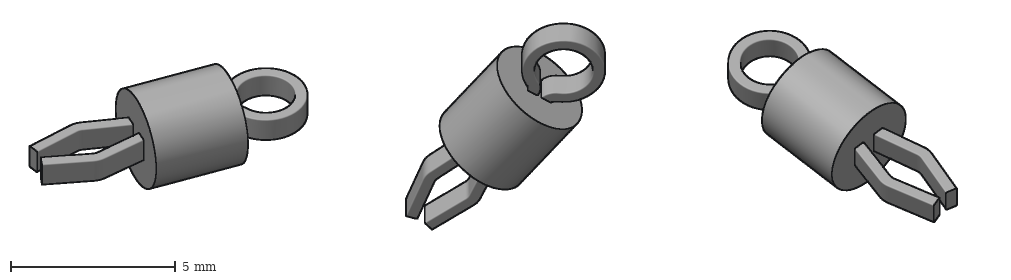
import cadquery as cq
import math

body_diameter = 3.17
body_length = 3.04

strip_thickness = 0.38
strip_width = 0.82
strip_corner_radius = 0.045
half_thickness = strip_thickness / 2

loop_outer_radius = 1.27
loop_height = 2.53
neck_inside_radius = 0.22
neck_half_gap = 0.05

leg_root_x = 0.41
knee_x = 0.8
knee_y = -1.6
leg_end_angle = 16.3
knee_inside_radius = 0.365
overall_length = 8.89
leg_embed_depth = 0.27


def strip_along(path, start, direction):
    """Sweep the rounded strip section along a path in the XY plane."""
    section = (
        cq.Sketch()
        .rect(strip_thickness, strip_width)
        .vertices()
        .fillet(strip_corner_radius)
    )
    across = (direction[1], -direction[0], 0)
    plane = cq.Plane(origin=(*start, 0), xDir=across, normal=(*direction, 0))
    return cq.Workplane(plane).placeSketch(section).sweep(path)


def make_body():
    return cq.Workplane("XZ").circle(body_diameter / 2).extrude(-body_length)


def make_loop():
    loop_radius = loop_outer_radius - half_thickness
    neck_radius = neck_inside_radius + half_thickness
    centre_y = body_length + loop_height - loop_outer_radius
    neck_x = neck_half_gap + half_thickness
    centre_distance = loop_radius + neck_radius
    neck_angle = math.asin((neck_x + neck_radius) / centre_distance)
    neck_centre_x = neck_x + neck_radius
    neck_y = centre_y - centre_distance * math.cos(neck_angle)

    joint_x = loop_radius * math.sin(neck_angle)
    joint_y = centre_y - loop_radius * math.cos(neck_angle)
    sweep_half = (math.pi / 2 - neck_angle) / 2
    middle_x = neck_centre_x - neck_radius * math.cos(sweep_half)
    middle_y = neck_y + neck_radius * math.sin(sweep_half)

    path = (
        cq.Workplane("XY")
        .moveTo(-neck_x, neck_y)
        .threePointArc((-middle_x, middle_y), (-joint_x, joint_y))
        .threePointArc((0, centre_y + loop_radius), (joint_x, joint_y))
        .threePointArc((middle_x, middle_y), (neck_x, neck_y))
    )
    return strip_along(path, (-neck_x, neck_y), (0, 1))


def make_leg():
    upper_angle = math.atan2(knee_x - leg_root_x, -knee_y)
    lower_angle = math.radians(leg_end_angle)
    upper = (math.sin(upper_angle), -math.cos(upper_angle))
    lower = (-math.sin(lower_angle), -math.cos(lower_angle))

    start = (leg_root_x - leg_embed_depth * math.tan(upper_angle), leg_embed_depth)
    tip_y = body_length + loop_height - overall_length
    end_y = tip_y + half_thickness * math.sin(lower_angle)
    end = (knee_x - (knee_y - end_y) * math.tan(lower_angle), end_y)

    bend_radius = knee_inside_radius + half_thickness
    half_turn = (upper_angle + lower_angle) / 2
    setback = bend_radius * math.tan(half_turn)
    bend_start = (knee_x - setback * upper[0], knee_y - setback * upper[1])
    bend_end = (knee_x + setback * lower[0], knee_y + setback * lower[1])
    apex_offset = bend_radius / math.cos(half_turn) - bend_radius
    outward_angle = (upper_angle - lower_angle) / 2
    bend_middle = (
        knee_x - apex_offset * math.cos(outward_angle),
        knee_y - apex_offset * math.sin(outward_angle),
    )

    path = (
        cq.Workplane("XY")
        .moveTo(*start)
        .lineTo(*bend_start)
        .threePointArc(bend_middle, bend_end)
        .lineTo(*end)
    )
    return strip_along(path, start, upper)


leg = make_leg()
result = make_body().union(make_loop()).union(leg).union(leg.mirror("YZ"))